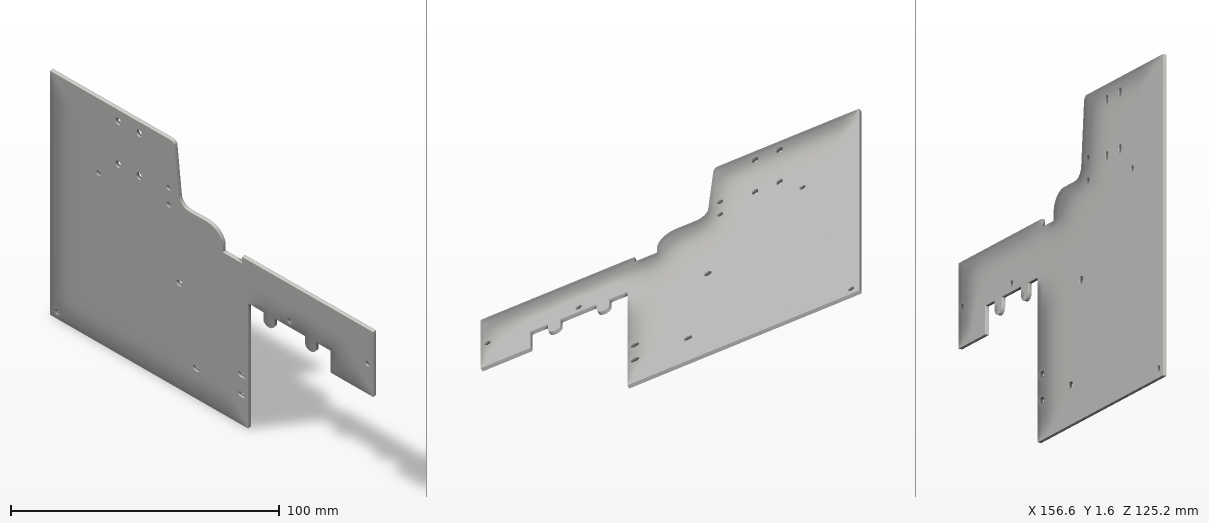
import cadquery as cq
import math

length = 156.63
height = 125.2
thickness = 1.6

panel_width = 96.0
panel_top_width = 60.25
taper_angle = 5.0
top_corner_radius = 2.0
shelf_z = 94.0
shelf_inner_radius = 5.0
shelf_outer_radius = 8.0
shelf_end_x = 83.75

notch_floor_z = 83.0
notch_end_x = 93.0

arm_top_z = 86.3
arm_bottom_z = 64.2
foot_start_x = 136.0
foot_bottom_z = 53.0
tab_width = 5.3
tab_tip_z = 58.0
tab_centers_x = (106.0, 126.2)

small_hole_diameter = 2.5
small_holes = [
    (3.5, 3.5),
    (23.6, 86.95),
    (57.6, 91.5),
    (57.6, 100.15),
    (116.1, 67.4),
    (153.8, 68.4),
]
large_hole_diameter = 3.0
large_holes = [(62.7, 54.3)]

slot_width = 2.5
slot_length = 3.5
slot_short_pitch = 10.1
slot_long_pitch = 22.0
upright_left_x = 33.05
upright_lower_z = 97.25
level_right_x = 92.9
level_lower_z = 15.5
upright_slots = [
    (upright_left_x, upright_lower_z),
    (upright_left_x, upright_lower_z + slot_long_pitch),
    (upright_left_x + slot_short_pitch, upright_lower_z),
    (upright_left_x + slot_short_pitch, upright_lower_z + slot_long_pitch),
]
level_slots = [
    (level_right_x - slot_long_pitch, level_lower_z),
    (level_right_x, level_lower_z),
    (level_right_x, level_lower_z + slot_short_pitch),
]


def extrude_to_back(sketch):
    """Extrude an XZ sketch through the plate thickness, toward +Y."""
    return sketch.extrude(-thickness)


def round_corner(plate, x, z, radius):
    """Fillet the through-thickness edge at an outline corner."""
    reach = 0.01
    corner = cq.selectors.BoxSelector(
        (x - reach, -reach, z - reach),
        (x + reach, thickness + reach, z + reach),
    )
    return plate.edges(corner).fillet(radius)


def make_plate():
    """Panel and arm with the rounded corners of the stepped top edge."""
    shelf_start_x = panel_top_width + (height - shelf_z) * math.tan(math.radians(taper_angle))
    outline = [
        (0, 0),
        (panel_width, 0),
        (panel_width, arm_bottom_z),
        (foot_start_x, arm_bottom_z),
        (foot_start_x, foot_bottom_z),
        (length, foot_bottom_z),
        (length, arm_top_z),
        (notch_end_x, arm_top_z),
        (notch_end_x, notch_floor_z),
        (shelf_end_x, notch_floor_z),
        (shelf_end_x, shelf_z),
        (shelf_start_x, shelf_z),
        (panel_top_width, height),
        (0, height),
    ]
    plate = extrude_to_back(cq.Workplane("XZ").polyline(outline).close())
    plate = round_corner(plate, panel_top_width, height, top_corner_radius)
    plate = round_corner(plate, shelf_start_x, shelf_z, shelf_inner_radius)
    return round_corner(plate, shelf_end_x, shelf_z, shelf_outer_radius)


def make_tab(center_x):
    """Round-ended tab hanging from the lower edge of the arm."""
    radius = tab_width / 2
    sketch = (
        cq.Workplane("XZ")
        .moveTo(center_x - radius, arm_bottom_z)
        .lineTo(center_x - radius, tab_tip_z + radius)
        .threePointArc((center_x, tab_tip_z), (center_x + radius, tab_tip_z + radius))
        .lineTo(center_x + radius, arm_bottom_z)
        .close()
    )
    return extrude_to_back(sketch)


def make_round_holes(centers, diameter):
    """Cutters for a set of through holes of one diameter."""
    return extrude_to_back(cq.Workplane("XZ").pushPoints(centers).circle(diameter / 2))


def make_slots(centers, angle):
    """Cutters for a group of through slots, tilted by angle from the X axis."""
    return extrude_to_back(cq.Workplane("XZ").pushPoints(centers).slot2D(slot_length, slot_width, angle))


result = make_plate()
for tab_x in tab_centers_x:
    result = result.union(make_tab(tab_x))

result = result.cut(make_round_holes(small_holes, small_hole_diameter))
result = result.cut(make_round_holes(large_holes, large_hole_diameter))
result = result.cut(make_slots(upright_slots, 90))
result = result.cut(make_slots(level_slots, 0))